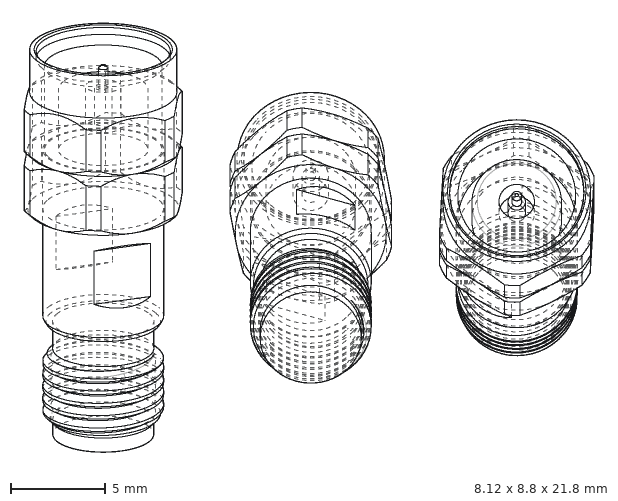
import cadquery as cq
import math

TOTAL_HEIGHT = 21.8

NECK_RADIUS = 2.68
BARREL_RADIUS = 3.2
THREAD_END_BOTTOM = 0.8
THREAD_END_TOP = 4.85
BARREL_BOTTOM = 6.4
BARREL_CHAMFER_HEIGHT = 0.28
BARREL_CHAMFER_WIDTH = 0.17
SHOULDER_Z = 16.12

THREAD_PITCH = 0.7
THREAD_ROOT_RADIUS = 2.77
THREAD_START_Z = 0.48
THREAD_TURNS = 6.5
THREAD_FLANK_ANGLE = 30.0
CUTTER_CLEARANCE = 0.1

FLAT_HALF_WIDTH = 2.77
FLAT_BOTTOM = 8.56
FLAT_TOP = 11.57
FLAT_END_ANGLE = 30.0

PLUG_RADIUS = 2.38
PLUG_TOP = 19.72
PLUG_EDGE_RADIUS = 0.28
SOCKET_RADIUS = 0.94
SOCKET_FLOOR = 17.43
PIN_BASE_RADIUS = 0.45
PIN_BASE_TOP = 19.65
PIN_RADIUS = 0.26
PIN_TOP = 20.92
PIN_TIP_CHAMFER = 0.17

NUT_BOTTOM = 12.8
HEX_SPLIT_Z = 16.12
HEX_TOP = 19.4
HEX_ACROSS_FLATS = 8.0
HEX_CORNER_RADIUS = 4.4
HEX_TURN = 2.0
HEX_SIDES = 6
HEX_HALF_ANGLE = 180 / HEX_SIDES
SLEEVE_RADIUS = 3.9
MOUTH_RADIUS = 3.55
MOUTH_CHAMFER = 0.1
MOUTH_FLOOR = 21.29
BORE_RADIUS = 3.12


def revolve_profile(points):
    """Revolve a closed (radius, z) outline about the Z axis."""
    return cq.Workplane("XZ").polyline(points).close().revolve(360, (0, 0, 0), (0, 1, 0))


def cylinder(radius, bottom, top):
    return cq.Workplane("XY").workplane(offset=bottom).circle(radius).extrude(top - bottom)


def make_barrel():
    """Barrel with the thread blank below it; 45 degree chamfers end the thread."""
    thread_chamfer = BARREL_RADIUS - NECK_RADIUS
    return revolve_profile([
        (0, 0),
        (NECK_RADIUS, 0),
        (NECK_RADIUS, THREAD_END_BOTTOM),
        (BARREL_RADIUS, THREAD_END_BOTTOM + thread_chamfer),
        (BARREL_RADIUS, THREAD_END_TOP - thread_chamfer),
        (NECK_RADIUS, THREAD_END_TOP),
        (NECK_RADIUS, BARREL_BOTTOM),
        (BARREL_RADIUS - BARREL_CHAMFER_WIDTH, BARREL_BOTTOM),
        (BARREL_RADIUS, BARREL_BOTTOM + BARREL_CHAMFER_HEIGHT),
        (BARREL_RADIUS, SHOULDER_Z),
        (0, SHOULDER_Z),
    ])


def make_thread_groove():
    """Right-hand V groove that starts on the +X side and runs out over both end chamfers."""
    outer_radius = BARREL_RADIUS + CUTTER_CLEARANCE
    half_opening = (outer_radius - THREAD_ROOT_RADIUS) * math.tan(math.radians(THREAD_FLANK_ANGLE))
    helix = cq.Wire.makeHelix(
        THREAD_PITCH,
        THREAD_PITCH * THREAD_TURNS,
        THREAD_ROOT_RADIUS,
        center=cq.Vector(0, 0, THREAD_START_Z),
    )
    groove_section = cq.Workplane("XZ").polyline([
        (THREAD_ROOT_RADIUS, THREAD_START_Z),
        (outer_radius, THREAD_START_Z + half_opening),
        (outer_radius, THREAD_START_Z - half_opening),
    ]).close()
    groove = groove_section.sweep(cq.Workplane(helix), isFrenet=True)
    return groove.intersect(cylinder(BARREL_RADIUS, 0, BARREL_BOTTOM))


def make_wrench_recess(side):
    """Flat-bottomed recess with sloping ends, on the +X (side=1) or -X (side=-1) face."""
    outer = BARREL_RADIUS + CUTTER_CLEARANCE
    end_rise = (outer - FLAT_HALF_WIDTH) * math.tan(math.radians(FLAT_END_ANGLE))
    return cq.Workplane("XZ").polyline([
        (side * FLAT_HALF_WIDTH, FLAT_BOTTOM),
        (side * outer, FLAT_BOTTOM - end_rise),
        (side * outer, FLAT_TOP + end_rise),
        (side * FLAT_HALF_WIDTH, FLAT_TOP),
    ]).close().extrude(BARREL_RADIUS, both=True)


def make_plug():
    """Hollow plug with a rounded rim and a stepped centre pin standing on its socket floor."""
    plug = cylinder(PLUG_RADIUS, SHOULDER_Z, PLUG_TOP).faces(">Z").edges().fillet(PLUG_EDGE_RADIUS)
    plug = plug.cut(cylinder(SOCKET_RADIUS, SOCKET_FLOOR, PLUG_TOP))
    pin_base = cylinder(PIN_BASE_RADIUS, SOCKET_FLOOR, PIN_BASE_TOP)
    pin = cylinder(PIN_RADIUS, PIN_BASE_TOP, PIN_TOP).faces(">Z").chamfer(PIN_TIP_CHAMFER)
    return plug.union(pin_base).union(pin)


def make_core():
    core = make_barrel().cut(make_thread_groove())
    for side in (-1, 1):
        core = core.cut(make_wrench_recess(side))
    return core.union(make_plug())


def make_hex(bottom, top, top_radius):
    """Hexagon section, its corners rounded and coned at 45 degrees at both ends."""
    flat_radius = HEX_ACROSS_FLATS / 2
    corner_diameter = HEX_ACROSS_FLATS / math.cos(math.radians(HEX_HALF_ANGLE))
    prism = (
        cq.Workplane("XY").workplane(offset=bottom)
        .transformed(rotate=(0, 0, HEX_HALF_ANGLE + HEX_TURN))
        .polygon(HEX_SIDES, corner_diameter)
        .extrude(top - bottom)
    )
    envelope = revolve_profile([
        (0, bottom),
        (flat_radius, bottom),
        (HEX_CORNER_RADIUS, bottom + HEX_CORNER_RADIUS - flat_radius),
        (HEX_CORNER_RADIUS, top - HEX_CORNER_RADIUS + top_radius),
        (top_radius, top),
        (0, top),
    ])
    return prism.intersect(envelope)


def make_nut_cavity():
    """Mouth with a chamfered lip, a 45 degree cone to the bore, and the seat of the barrel."""
    mouth = revolve_profile([
        (0, SHOULDER_Z),
        (BORE_RADIUS, SHOULDER_Z),
        (BORE_RADIUS, MOUTH_FLOOR - (MOUTH_RADIUS - BORE_RADIUS)),
        (MOUTH_RADIUS, MOUTH_FLOOR),
        (MOUTH_RADIUS, TOTAL_HEIGHT - MOUTH_CHAMFER),
        (MOUTH_RADIUS + MOUTH_CHAMFER, TOTAL_HEIGHT),
        (0, TOTAL_HEIGHT),
    ])
    return mouth.union(cylinder(BARREL_RADIUS, NUT_BOTTOM, SHOULDER_Z))


def make_nut():
    lower_hex = make_hex(NUT_BOTTOM, HEX_SPLIT_Z, HEX_ACROSS_FLATS / 2)
    upper_hex = make_hex(HEX_SPLIT_Z, HEX_TOP, SLEEVE_RADIUS)
    sleeve = cylinder(SLEEVE_RADIUS, HEX_TOP, TOTAL_HEIGHT)
    return lower_hex.union(upper_hex).union(sleeve).cut(make_nut_cavity())


core = make_core()
coupling_nut = make_nut()

result = cq.Compound.makeCompound([core.val(), coupling_nut.val()])